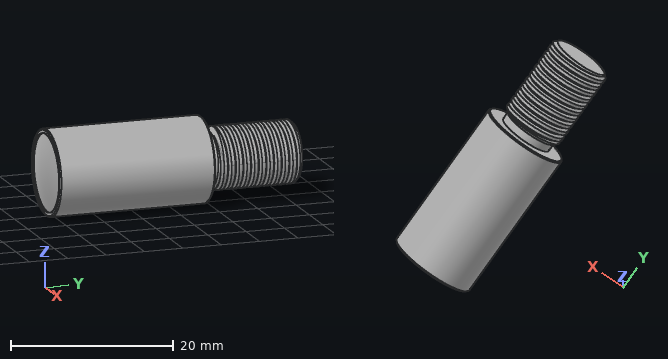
import cadquery as cq

total_length = 32.75
stud_length = 12.0
rim_setback = 0.5

body_radius = 5.5
body_chamfer = 0.15
dome_edge_radius = 4.95
dome_height = 0.7

thread_radius = 4.0
neck_radius = 3.45
neck_length = 1.05
stud_end_chamfer = 0.5
groove_span = 10.0
groove_width = 0.52
groove_depth = 0.45
first_groove_setback = 0.92
groove_turns = 10
groove_overcut = 0.05

tip_y = -total_length / 2
stud_end_y = total_length / 2
shoulder_y = stud_end_y - stud_length
rim_y = tip_y + rim_setback
neck_end_y = shoulder_y + neck_length
neck_taper = thread_radius - neck_radius
pitch = groove_span / groove_turns


def make_blank():
    """Revolve the unthreaded profile about the Y axis."""
    dome_edge_y = tip_y + dome_height
    dome_radius = (dome_edge_radius**2 + dome_height**2) / (2 * dome_height)
    mid_x = dome_edge_radius / 2
    mid_y = tip_y + dome_radius - (dome_radius**2 - mid_x**2) ** 0.5
    return (
        cq.Workplane("XY")
        .moveTo(0, tip_y)
        .threePointArc((mid_x, mid_y), (dome_edge_radius, dome_edge_y))
        .lineTo(dome_edge_radius, rim_y)
        .lineTo(body_radius - body_chamfer, rim_y)
        .lineTo(body_radius, rim_y + body_chamfer)
        .lineTo(body_radius, shoulder_y - body_chamfer)
        .lineTo(body_radius - body_chamfer, shoulder_y)
        .lineTo(neck_radius, shoulder_y)
        .lineTo(neck_radius, neck_end_y)
        .lineTo(thread_radius, neck_end_y + neck_taper)
        .lineTo(thread_radius, stud_end_y - stud_end_chamfer)
        .lineTo(thread_radius - stud_end_chamfer, stud_end_y)
        .lineTo(0, stud_end_y)
        .close()
        .revolve(360, (0, 0, 0), (0, 1, 0))
    )


def make_thread_groove():
    """Sweep a V-shaped cutter along a right-hand helix around Y."""
    start_y = stud_end_y - first_groove_setback - groove_span
    groove_length = groove_span + pitch
    root_radius = thread_radius - groove_depth
    outer_radius = thread_radius + groove_overcut
    outer_half_width = groove_width / 2 * (groove_depth + groove_overcut) / groove_depth
    helix = cq.Wire.makeHelix(
        pitch, groove_length, thread_radius, cq.Vector(0, start_y, 0), cq.Vector(0, 1, 0)
    )
    return (
        cq.Workplane("YZ")
        .moveTo(start_y, root_radius)
        .lineTo(start_y + outer_half_width, outer_radius)
        .lineTo(start_y - outer_half_width, outer_radius)
        .close()
        .sweep(cq.Workplane(obj=helix), isFrenet=True)
    )


result = make_blank().cut(make_thread_groove())